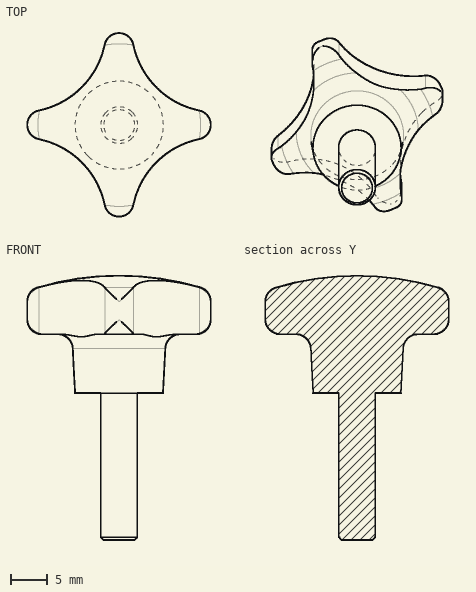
import cadquery as cq
import math

head_radius = 12.5
head_height = 8.0
lobe_radius = 2.0
rim_radius = 2.0
valley_radius = 11.5
lobe_count = 4
dome_radius = 39.0

hub_height = 8.0
hub_bottom_radius = 6.0
hub_draft = 3.0
hub_fillet = 2.0

stud_radius = 2.5
stud_length = 20.0
stud_chamfer = 0.4

head_bottom = hub_height
head_top = head_bottom + head_height


def polar(radius, angle):
    return (radius * math.cos(angle), radius * math.sin(angle))


def make_head_disc():
    """Domed disc with a rounded rim, before the valleys are cut."""
    rim_centre_r = head_radius - rim_radius
    dome_centre_z = head_top - dome_radius
    rim_centre_z = dome_centre_z + math.sqrt((dome_radius - rim_radius) ** 2 - rim_centre_r ** 2)
    dome_angle = math.atan2(rim_centre_r, rim_centre_z - dome_centre_z)

    def dome_point(angle):
        return (dome_radius * math.sin(angle), dome_centre_z + dome_radius * math.cos(angle))

    def rim_point(centre_z, angle):
        r, z = polar(rim_radius, angle)
        return (rim_centre_r + r, centre_z + z)

    upper_middle = (math.pi / 2 - dome_angle) / 2
    lower_centre_z = head_bottom + rim_radius
    profile = (
        cq.Workplane("XZ")
        .moveTo(0, head_top)
        .threePointArc(dome_point(dome_angle / 2), dome_point(dome_angle))
        .threePointArc(rim_point(rim_centre_z, upper_middle), rim_point(rim_centre_z, 0))
        .lineTo(head_radius, lower_centre_z)
        .threePointArc(rim_point(lower_centre_z, -math.pi / 4), (rim_centre_r, head_bottom))
        .lineTo(0, head_bottom)
        .close()
    )
    return profile.revolve(360, (0, 0, 0), (0, 1, 0))


def make_hub():
    """Tapered hub, widening upwards and flaring into the head underside."""
    draft = math.radians(hub_draft)
    flare_centre_z = head_bottom - hub_fillet
    flare_start_z = flare_centre_z + hub_fillet * math.sin(draft)
    flare_start_r = hub_bottom_radius + flare_start_z * math.tan(draft)
    flare_centre_r = flare_start_r + hub_fillet * math.cos(draft)
    middle_angle = (math.pi - draft + math.pi / 2) / 2
    middle_r, middle_z = polar(hub_fillet, middle_angle)
    profile = (
        cq.Workplane("XZ")
        .moveTo(0, 0)
        .lineTo(hub_bottom_radius, 0)
        .lineTo(flare_start_r, flare_start_z)
        .threePointArc(
            (flare_centre_r + middle_r, flare_centre_z + middle_z),
            (flare_centre_r, head_bottom),
        )
        .lineTo(0, head_bottom)
        .close()
    )
    return profile.revolve(360, (0, 0, 0), (0, 1, 0))


def make_star():
    """Prism of the plan outline: lobe tip arcs joined by tangent valley arcs."""
    pitch = 2 * math.pi / lobe_count
    half_pitch = pitch / 2
    lobe_centre = head_radius - lobe_radius
    centre_gap = lobe_radius + valley_radius
    valley_centre = lobe_centre * math.cos(half_pitch) + math.sqrt(
        centre_gap ** 2 - (lobe_centre * math.sin(half_pitch)) ** 2
    )
    valley_x, valley_y = polar(valley_centre, half_pitch)
    share = lobe_radius / centre_gap
    tangent_x = lobe_centre + share * (valley_x - lobe_centre)
    tangent_y = share * valley_y
    tangent_r = math.hypot(tangent_x, tangent_y)
    tangent_angle = math.atan2(tangent_y, tangent_x)

    outline = cq.Workplane("XY").moveTo(*polar(tangent_r, -tangent_angle))
    for i in range(lobe_count):
        lobe_angle = i * pitch
        outline = outline.threePointArc(
            polar(head_radius, lobe_angle),
            polar(tangent_r, lobe_angle + tangent_angle),
        ).threePointArc(
            polar(valley_centre - valley_radius, lobe_angle + half_pitch),
            polar(tangent_r, lobe_angle + pitch - tangent_angle),
        )
    return outline.close().extrude(head_top)


def make_stud():
    """Plain stud below the hub with a chamfered end."""
    return (
        cq.Workplane("XY")
        .circle(stud_radius)
        .extrude(-stud_length)
        .faces("<Z")
        .chamfer(stud_chamfer)
    )


knob = make_head_disc().union(make_hub()).intersect(make_star())
result = knob.union(make_stud())